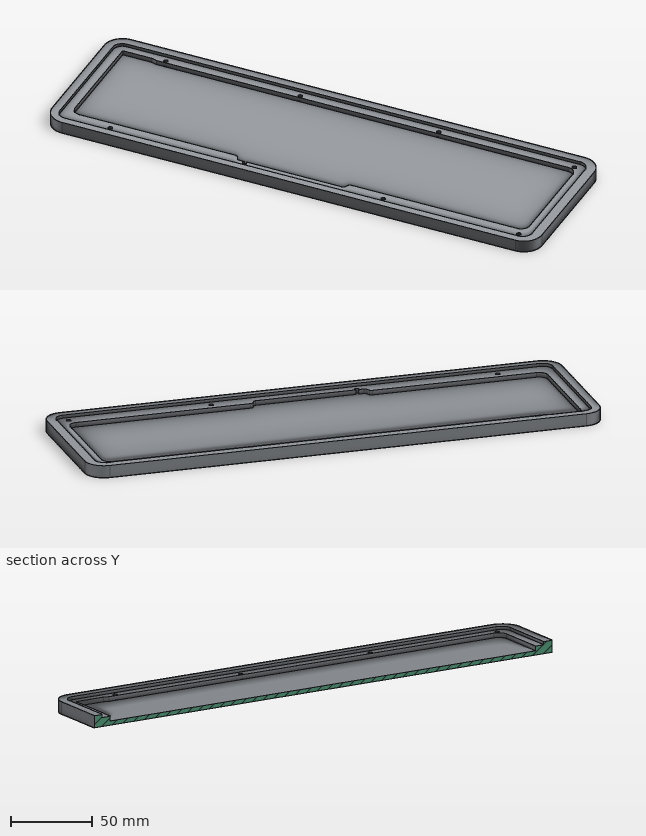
import cadquery as cq

length = 331.2
width = 100.5
height = 8.0
outer_radius = 12.3

left_rim_width = 5.5
right_rim_width = 6.3
front_rim_width = 5.0
back_rim_width = 5.5
recess_depth = 2.0
recess_radius = 6.3
shelf_height = height - recess_depth

pocket_left = 11.5
pocket_right_inset = 12.3
pocket_back_inset = 11.5
pocket_depth = 3.0
pocket_front = 15.0
pocket_radius = 5.5
floor_height = shelf_height - pocket_depth
pocket_right = length - pocket_right_inset
pocket_back = width - pocket_back_inset

step_start = 31.5
step_end = 34.8
step_size = 1.0
pocket_back_left_radius = 0.5
notch_left = 124.0
notch_right = 199.7
notch_slope = 2.0
notch_front = 11.0
notch_radius = 1.82

hole_diameter = 2.7
hole_columns = (40.5, 131.0, 225.0, 316.5)
hole_row_offset = 40.5
hole_rows = (width / 2 - hole_row_offset, width / 2 + hole_row_offset)


def box_between(left, front, right, back, bottom, top):
    """Upright box given by its limits along each axis."""
    return cq.Workplane("XY").box(right - left, back - front, top - bottom, centered=False).translate(
        (left, front, bottom)
    )


def vertical_edges_near(x, y):
    """Selector for the vertical pocket edge at one corner of its outline."""
    reach = 0.15
    return cq.selectors.BoxSelector(
        (x - reach, y - reach, 0),
        (x + reach, y + reach, height),
    )


def make_pocket():
    """Pocket tool with the sloped corner step, the sloped front notch and rounded corners."""
    step_back = pocket_back + step_size
    outline = [
        (pocket_left, pocket_front),
        (notch_left, pocket_front),
        (notch_left + notch_slope, notch_front),
        (notch_right - notch_slope, notch_front),
        (notch_right, pocket_front),
        (pocket_right, pocket_front),
        (pocket_right, pocket_back),
        (step_end, pocket_back),
        (step_start, step_back),
        (pocket_left, step_back),
    ]
    pocket = (
        cq.Workplane("XY")
        .workplane(offset=floor_height)
        .polyline(outline)
        .close()
        .extrude(pocket_depth)
    )
    rounded_corners = (
        (pocket_left, pocket_front, pocket_radius),
        (pocket_right, pocket_front, pocket_radius),
        (pocket_right, pocket_back, pocket_radius),
        (notch_left, pocket_front, notch_radius),
        (notch_left + notch_slope, notch_front, notch_radius),
        (notch_right - notch_slope, notch_front, notch_radius),
        (notch_right, pocket_front, notch_radius),
        (pocket_left, step_back, pocket_back_left_radius),
    )
    for x, y, radius in rounded_corners:
        pocket = pocket.edges(vertical_edges_near(x, y)).fillet(radius)
    return pocket


def make_holes():
    """Straight blind screw holes running from the shelf down to the pocket floor level."""
    return (
        cq.Workplane("XY")
        .workplane(offset=floor_height)
        .pushPoints([(x, y) for x in hole_columns for y in hole_rows])
        .circle(hole_diameter / 2)
        .extrude(pocket_depth)
    )


tray = box_between(0, 0, length, width, 0, height).edges("|Z").fillet(outer_radius)
recess = box_between(
    left_rim_width,
    front_rim_width,
    length - right_rim_width,
    width - back_rim_width,
    shelf_height,
    height,
).edges("|Z").fillet(recess_radius)

result = tray.cut(recess).cut(make_pocket()).cut(make_holes())